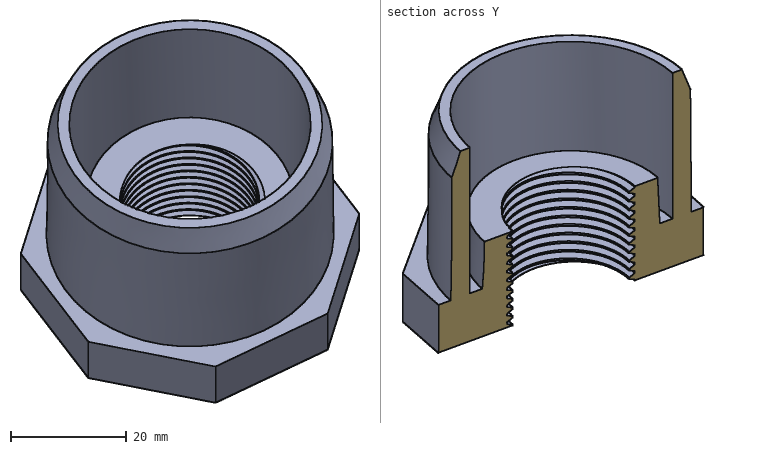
import cadquery as cq
import math


total_height = 41.0
across_flats = 55.0
flange_sides = 8
flange_height = 10.2

spigot_base_diameter = 50.0
spigot_upper_diameter = 49.6
mouth_diameter = 46.0
lead_in_height = 4.9
socket_diameter = 42.0

boss_top_diameter = 36.0
boss_base_diameter = 36.9
boss_top_height = 20.0

bore_diameter = 24.1
thread_pitch = 1.814
thread_depth = 1.162
groove_mouth_width = 0.8 * thread_pitch
groove_root_width = 0.2 * thread_pitch
groove_angle_at_boss_top = 6.0
flank_overlap = 0.1
neck_overlap = 0.3


def make_flange():
    """Octagonal prism with flats facing X and Y."""
    across_corners = across_flats / math.cos(math.pi / flange_sides)
    flange = cq.Workplane("XY").polygon(flange_sides, across_corners).extrude(flange_height)
    return flange.rotate((0, 0, 0), (0, 0, 1), 180 / flange_sides)


def make_spigot():
    """Tapered tube wall with a conical lead-in at the top."""
    return (
        cq.Workplane("XZ")
        .moveTo(socket_diameter / 2, flange_height)
        .lineTo(spigot_base_diameter / 2, flange_height)
        .lineTo(spigot_upper_diameter / 2, total_height - lead_in_height)
        .lineTo(mouth_diameter / 2, total_height)
        .lineTo(socket_diameter / 2, total_height)
        .close()
        .revolve(360, (0, 0), (0, 1))
    )


def make_boss():
    """Drafted round boss standing on the flange."""
    return (
        cq.Workplane("XY", origin=(0, 0, flange_height))
        .circle(boss_base_diameter / 2)
        .workplane(offset=boss_top_height - flange_height)
        .circle(boss_top_diameter / 2)
        .loft(ruled=True)
    )


def make_bore():
    return cq.Workplane("XY").circle(bore_diameter / 2).extrude(boss_top_height)


def make_thread_groove():
    """Right-hand helical groove that runs out through both ends of the bore."""
    turns = math.ceil(boss_top_height / thread_pitch) + 1
    helix_height = turns * thread_pitch
    bore_radius = bore_diameter / 2
    flank_slope = (groove_mouth_width - groove_root_width) / 2 / thread_depth
    neck_half_width = groove_mouth_width / 2 + flank_slope * flank_overlap
    neck_radius = bore_radius - neck_overlap
    flank_radius = bore_radius - flank_overlap
    root_radius = bore_radius + thread_depth
    profile = (
        cq.Workplane("XZ")
        .moveTo(neck_radius, -neck_half_width)
        .lineTo(flank_radius, -neck_half_width)
        .lineTo(root_radius, -groove_root_width / 2)
        .lineTo(root_radius, groove_root_width / 2)
        .lineTo(flank_radius, neck_half_width)
        .lineTo(neck_radius, neck_half_width)
        .close()
    )
    helix = cq.Workplane(cq.Wire.makeHelix(thread_pitch, helix_height, bore_radius))
    groove = profile.sweep(helix, isFrenet=True)
    start_height = boss_top_height + thread_pitch - helix_height
    return groove.rotate((0, 0, 0), (0, 0, 1), groove_angle_at_boss_top).translate((0, 0, start_height))


body = make_flange().union(make_spigot()).union(make_boss())
result = body.cut(make_thread_groove()).cut(make_bore())